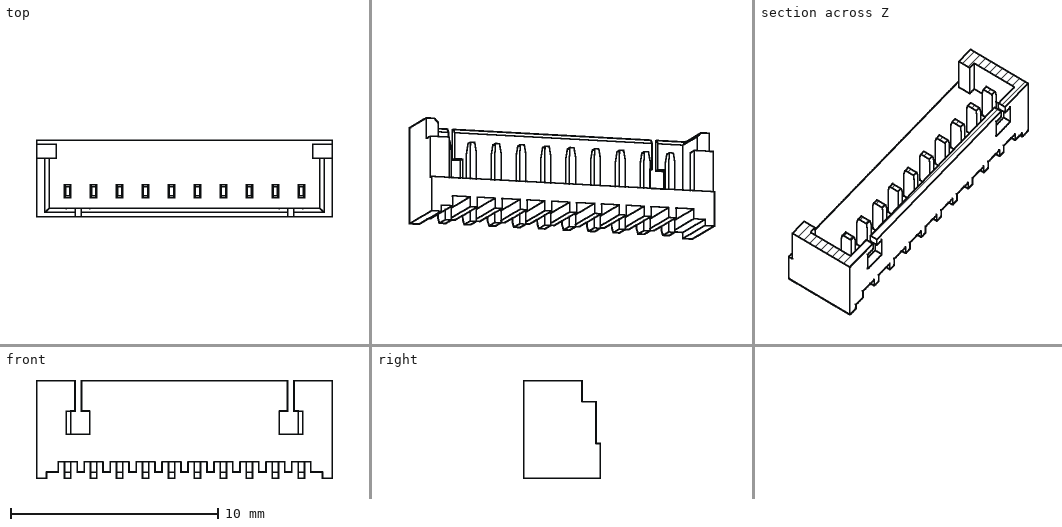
import cadquery as cq

length = 14.25
depth = 3.7
height = 4.7

floor_z = 1.68
end_wall = 0.6
front_wall = 0.41
rim_chamfer = 0.2
wall_back_y = 2.82

post_width = 0.95
post_back_y = 3.49
post_top_z = 3.69

window_x = 1.42
window_width = 1.13
window_bottom_z = 2.12
window_height = 1.11
slot_x = 1.85
slot_width = 0.3

foot_width = 0.48
foot_height = 0.3
channel_width = 0.9
channel_top_z = 0.78

contact_count = 10
first_contact_x = 1.5
contact_width = 0.31
contact_front_y = 0.93
contact_depth = 0.61
contact_top_z = 3.89
tip_side_taper = 0.05
tip_depth_taper = 0.09
tip_length = 0.5
tail_front_y = 0.3
bend_run = 0.25


def block(x, y, z):
    """Box spanning the given (low, high) pairs along X, Y and Z."""
    size = (x[1] - x[0], y[1] - y[0], z[1] - z[0])
    return cq.Workplane("XY").box(*size, centered=False).translate((x[0], y[0], z[0]))


def both_ends(left):
    """Pair a left-end solid with its mirror image at the right end."""
    return left.union(left.mirror("YZ", (length / 2, 0, 0)))


def make_housing():
    base = block((0, length), (0, depth), (0, floor_z))
    walls = block((0, length), (0, wall_back_y), (floor_z, height))
    posts = both_ends(block((0, post_width), (wall_back_y, post_back_y), (floor_z, post_top_z)))
    cavity = block((end_wall, length - end_wall), (front_wall, depth), (floor_z, height))
    return base.union(walls.cut(cavity)).union(posts)


def make_rim_chamfer():
    """Cutter that bevels the inner rim of the end walls and the front wall at 45 degrees."""
    width = length - 2 * (end_wall - rim_chamfer)
    front_y = front_wall - rim_chamfer
    flare_depth = 2 * (depth - front_y)
    return (
        cq.Workplane("XY", origin=(length / 2, front_y + flare_depth / 2, height))
        .rect(width, flare_depth)
        .workplane(offset=-rim_chamfer)
        .rect(width - 2 * rim_chamfer, flare_depth - 2 * rim_chamfer)
        .loft(combine=True)
    )


def make_latch_openings():
    window_top_z = window_bottom_z + window_height
    wall_y = (0, front_wall)
    window = block((window_x, window_x + window_width), wall_y, (window_bottom_z, window_top_z))
    slot = block((slot_x, slot_x + slot_width), wall_y, (window_top_z, height))
    return both_ends(window.union(slot))


def make_underside_cut(contact_xs):
    cut = block((foot_width, length - foot_width), (0, depth), (0, foot_height))
    for x in contact_xs:
        channel_x = (x - channel_width / 2, x + channel_width / 2)
        cut = cut.union(block(channel_x, (0, depth), (0, channel_top_z)))
    return cut


def make_contact(x):
    """Tapered upright blade on a tail that fills the channel height and is bevelled at its lower front."""
    side_x = (x - contact_width / 2, x + contact_width / 2)
    back_y = contact_front_y + contact_depth
    shoulder_z = contact_top_z - tip_length
    blade = block(side_x, (contact_front_y, back_y), (channel_top_z, shoulder_z))
    tip = (
        cq.Workplane("XY", origin=(x, (contact_front_y + back_y) / 2, shoulder_z))
        .rect(contact_width, contact_depth)
        .workplane(offset=tip_length)
        .rect(contact_width - 2 * tip_side_taper, contact_depth - 2 * tip_depth_taper)
        .loft(combine=True)
    )
    tail = (
        cq.Workplane("YZ", origin=(side_x[0], 0, 0))
        .moveTo(tail_front_y, channel_top_z)
        .lineTo(tail_front_y, foot_height)
        .lineTo(tail_front_y + bend_run, 0)
        .lineTo(back_y, 0)
        .lineTo(back_y, channel_top_z)
        .close()
        .extrude(contact_width)
    )
    return blade.union(tail).union(tip)


pitch = (length - 2 * first_contact_x) / (contact_count - 1)
contact_xs = [first_contact_x + i * pitch for i in range(contact_count)]

result = make_housing()
result = result.cut(make_rim_chamfer())
result = result.cut(make_latch_openings())
result = result.cut(make_underside_cut(contact_xs))
for contact_x in contact_xs:
    result = result.union(make_contact(contact_x))